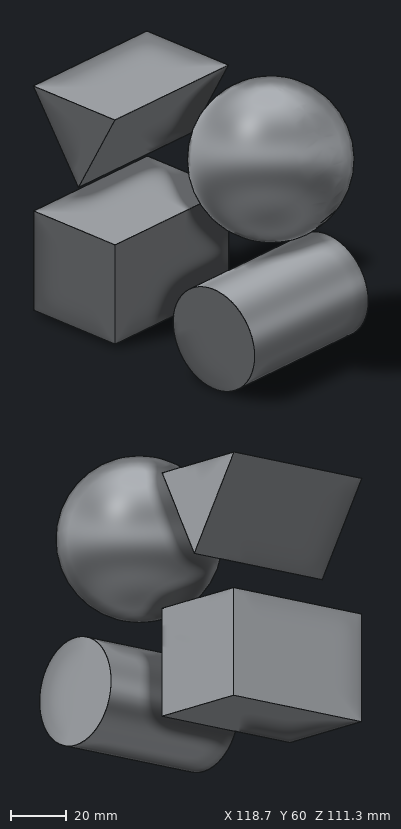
import cadquery as cq

depth = 60.0
back_y = depth / 2
section_width = 40.0

sphere_radius = depth / 2
cylinder_radius = section_width / 2
overall_width = 118.7
round_axis_x = overall_width - sphere_radius
overall_height = 111.3
sphere_center_z = overall_height - sphere_radius

block_left = 0.2
block_bottom = 1.3

prism_right = 40.1
prism_top = 91.5
prism_height = 33.3
prism_apex_x = 22.2


def make_block():
    """Square block standing below the prism."""
    return cq.Workplane("XY").box(
        section_width, depth, section_width, centered=(False, True, False)
    ).translate((block_left, 0, block_bottom))


def make_prism():
    """Triangular prism lying along Y with its flat face on top."""
    outline = [
        (0, prism_top),
        (prism_right, prism_top),
        (prism_apex_x, prism_top - prism_height),
    ]
    return (
        cq.Workplane("XZ", origin=(0, back_y, 0))
        .polyline(outline)
        .close()
        .extrude(depth)
    )


def make_cylinder():
    """Cylinder lying along Y, resting on Z = 0."""
    return (
        cq.Workplane("XZ", origin=(0, back_y, 0))
        .center(round_axis_x, cylinder_radius)
        .circle(cylinder_radius)
        .extrude(depth)
    )


def make_sphere():
    """Ball floating above the cylinder."""
    return cq.Workplane("XY").sphere(sphere_radius).translate((round_axis_x, 0, sphere_center_z))


block = make_block()
prism = make_prism()
cylinder = make_cylinder()
sphere = make_sphere()

result = cq.Compound.makeCompound([block.val(), prism.val(), cylinder.val(), sphere.val()])